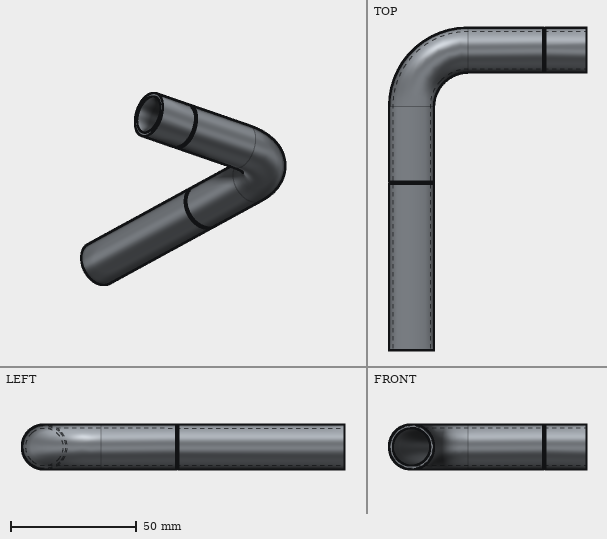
import cadquery as cq

outer_diameter = 18.0
bore_diameter = 15.0
length_x = 79.0
length_y = 129.0
bend_radius = 22.6

groove_depth = 0.5
groove_width = 2 * groove_depth
bend_to_groove = 29.9

outer_radius = outer_diameter / 2
leg_x = length_x - outer_radius - bend_radius
leg_y = length_y - outer_radius - bend_radius

bend_end_y = (-bend_radius, 0, 0)
bend_end_x = (0, bend_radius, 0)
direction_y = (0, -1, 0)
direction_x = (1, 0, 0)


def bent_rod(diameter):
    """Solid round rod following the tube centreline."""
    radius = diameter / 2
    bend = (
        cq.Workplane("XZ")
        .center(-bend_radius, 0)
        .circle(radius)
        .revolve(90, (bend_radius, 0), (bend_radius, -1))
    )
    straight_y = cq.Solid.makeCylinder(radius, leg_y, cq.Vector(bend_end_y), cq.Vector(direction_y))
    straight_x = cq.Solid.makeCylinder(radius, leg_x, cq.Vector(bend_end_x), cq.Vector(direction_x))
    return bend.union(cq.Workplane(straight_y)).union(cq.Workplane(straight_x))


def groove_cutter(bend_end, direction):
    """Ring with a V-shaped inner face, removed from the outside of a leg."""
    axis = cq.Vector(direction)
    start = cq.Vector(bend_end) + axis * bend_to_groove
    middle = start + axis * groove_depth
    root_radius = outer_radius - groove_depth
    ring = cq.Workplane(cq.Solid.makeCylinder(outer_diameter, groove_width, start, axis))
    near_cone = cq.Solid.makeCone(outer_radius, root_radius, groove_depth, start, axis)
    far_cone = cq.Solid.makeCone(root_radius, outer_radius, groove_depth, middle, axis)
    return ring.cut(cq.Workplane(near_cone)).cut(cq.Workplane(far_cone))


result = bent_rod(outer_diameter).cut(bent_rod(bore_diameter))
for bend_end, direction in ((bend_end_y, direction_y), (bend_end_x, direction_x)):
    result = result.cut(groove_cutter(bend_end, direction))